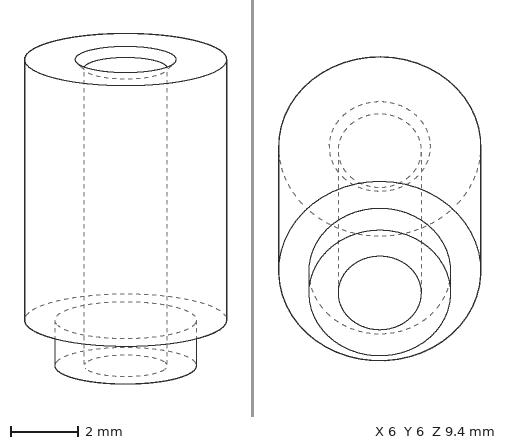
import cadquery as cq

total_height = 9.4
body_diameter = 6.0
spigot_diameter = 4.2
spigot_height = 1.4
bore_diameter = 2.46
bore_mouth_diameter = 3.0

body_height = total_height - spigot_height
bore_chamfer = (bore_mouth_diameter - bore_diameter) / 2

spigot = cq.Workplane("XY").circle(spigot_diameter / 2).extrude(spigot_height)
spacer = spigot.faces(">Z").workplane().circle(body_diameter / 2).extrude(body_height)

bored_spacer = spacer.faces(">Z").workplane().hole(bore_diameter)
result = bored_spacer.faces(">Z").edges("%CIRCLE").edges(cq.selectors.RadiusNthSelector(0)).chamfer(bore_chamfer)